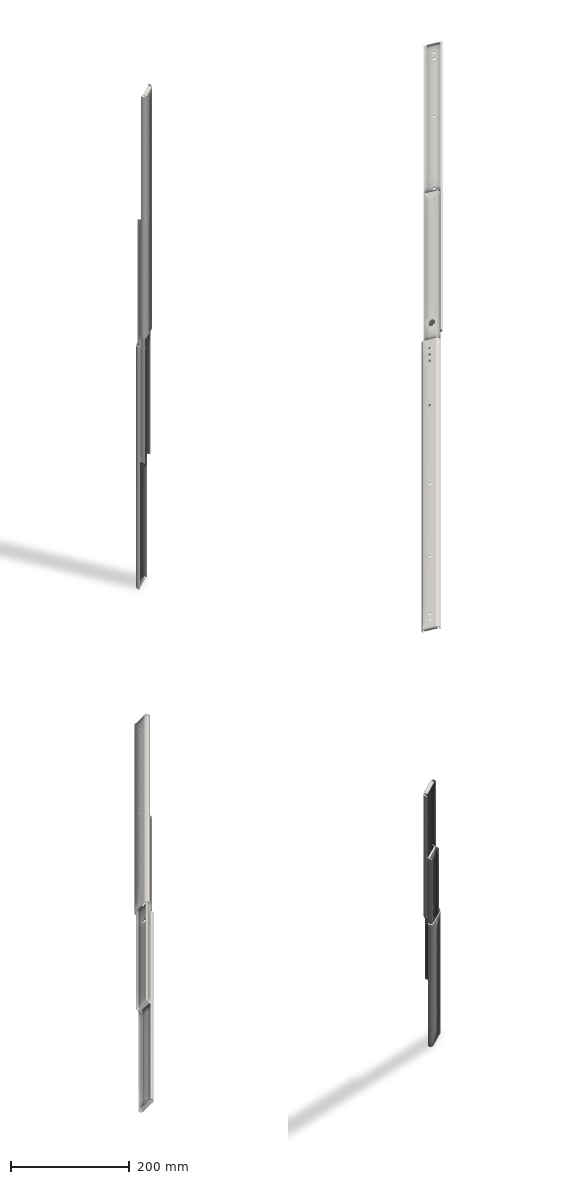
import cadquery as cq
import math


TOTAL_LENGTH = 1139.1
RAIL_LENGTH = 559.0
CHANNEL_LENGTH = RAIL_LENGTH
SLIDE_DEPTH = 19.0
SLIDE_WIDTH = 35.08
MID_X = SLIDE_DEPTH / 2
OUTER_END = -TOTAL_LENGTH / 2

SHEET = 1.5
RAIL_DEPTH = 9.0
TRACK_RADIUS = 4.5
TRACK_CENTRE = 5.5
SHOULDER_ANGLE = math.radians(60)
LIP_ANGLE = math.asin((RAIL_DEPTH - TRACK_CENTRE) / TRACK_RADIUS)

TAB_WIDTH = 25.0
TAB_REACH = 7.0
TAB_BEND = 2.5

SCREW_HOLE = 4.6
HOLE_PITCH = 12.0
OUTER_PAIR_START = 15.6
INNER_ROW_START = 17.0
SCREW_HOLES = [
    OUTER_PAIR_START,
    OUTER_PAIR_START + HOLE_PITCH,
    139.0,
    RAIL_LENGTH / 2,
    RAIL_LENGTH - 127.0,
    RAIL_LENGTH - INNER_ROW_START - 2 * HOLE_PITCH,
    RAIL_LENGTH - INNER_ROW_START - HOLE_PITCH,
    RAIL_LENGTH - INNER_ROW_START,
]

CHANNEL_WIDTH = 26.0
CHANNEL_DEPTH = 6.5
CHANNEL_CORNER = 3.0
ACCESS_HOLE = 13.0
ACCESS_HEIGHT = 26.0


def holes_along_x(diameter, heights):
    """Cylinders along X through the whole slide depth, one at each height."""
    points = [(0, z) for z in heights]
    return cq.Workplane("YZ").pushPoints(points).circle(diameter / 2).extrude(SLIDE_DEPTH)


def turned_over(body):
    """The same body turned half a turn about the Y line through the centre of the slide."""
    return body.rotate((MID_X, 0, 0), (MID_X, 1, 0), 180)


def flange_outline(offset):
    """Points along one flange, at an offset inward from the outside of the sheet.

    They run from the web along the sloping shoulder, around the ball track and on to the lip.
    """
    radius = TRACK_RADIUS - offset
    centre_y = SLIDE_WIDTH / 2 - TRACK_RADIUS

    def on_track(angle):
        x = TRACK_CENTRE + radius * math.sin(angle)
        y = centre_y + radius * math.cos(angle)
        return (x, y)

    shoulder_x = TRACK_CENTRE - radius * math.sin(SHOULDER_ANGLE)
    shoulder_y = centre_y + radius * math.cos(SHOULDER_ANGLE)
    web_y = shoulder_y - (shoulder_x - offset) * math.tan(SHOULDER_ANGLE)
    return (offset, web_y), on_track(-SHOULDER_ANGLE), on_track(0), on_track(LIP_ANGLE)


def rail_section():
    """C section with its back on X = 0 and flanges curled around the ball tracks."""
    sketch = cq.Workplane("XY", origin=(0, 0, OUTER_END))
    web_in, shoulder_in, widest_in, lip_in = flange_outline(SHEET)
    web_out, shoulder_out, widest_out, lip_out = flange_outline(0)
    half = (
        sketch.moveTo(0, 0)
        .lineTo(*web_out)
        .lineTo(*shoulder_out)
        .threePointArc(widest_out, lip_out)
        .lineTo(*lip_in)
        .threePointArc(widest_in, shoulder_in)
        .lineTo(*web_in)
        .lineTo(SHEET, 0)
    )
    return half.mirrorX()


def tab_block(inset):
    """Block at the outer end with a rounded bend edge, set inward from the outside of the sheet."""
    size = TAB_REACH - inset
    return (
        cq.Workplane("XY", origin=(inset, 0, OUTER_END + inset))
        .box(size, TAB_WIDTH, size, centered=(False, True, False))
        .edges("<X and <Z").fillet(TAB_BEND - inset)
    )


def outer_rail():
    """Lower rail: open towards +X, end tab at the bottom, row of screw holes in the web."""
    body = rail_section().extrude(RAIL_LENGTH)
    web_end = cq.Workplane("XY", origin=(0, 0, OUTER_END)).box(
        TAB_BEND, TAB_WIDTH, TAB_BEND, centered=(False, True, False)
    )
    tab = tab_block(0).cut(tab_block(SHEET))
    heights = [OUTER_END + distance for distance in SCREW_HOLES]
    return body.cut(web_end).union(tab).cut(holes_along_x(SCREW_HOLE, heights))


def intermediate_channel():
    """Channel open towards -X with its web against the middle plane."""
    block = (
        cq.Workplane("XY")
        .box(CHANNEL_DEPTH, CHANNEL_WIDTH, CHANNEL_LENGTH)
        .edges("|Z and >X").fillet(CHANNEL_CORNER)
    )
    hollow = (
        cq.Workplane("XY")
        .box(CHANNEL_DEPTH, CHANNEL_WIDTH - 2 * SHEET, CHANNEL_LENGTH)
        .edges("|Z and >X").fillet(CHANNEL_CORNER - SHEET)
        .translate((-SHEET, 0, 0))
    )
    body = block.cut(hollow).translate((MID_X - CHANNEL_DEPTH / 2, 0, 0))
    return body.cut(holes_along_x(ACCESS_HOLE, [-ACCESS_HEIGHT, ACCESS_HEIGHT]))


lower_rail = outer_rail()
upper_rail = turned_over(lower_rail)
left_channel = intermediate_channel()
right_channel = turned_over(left_channel)

result = cq.Compound.makeCompound(
    [lower_rail.val(), upper_rail.val(), left_channel.val(), right_channel.val()]
)